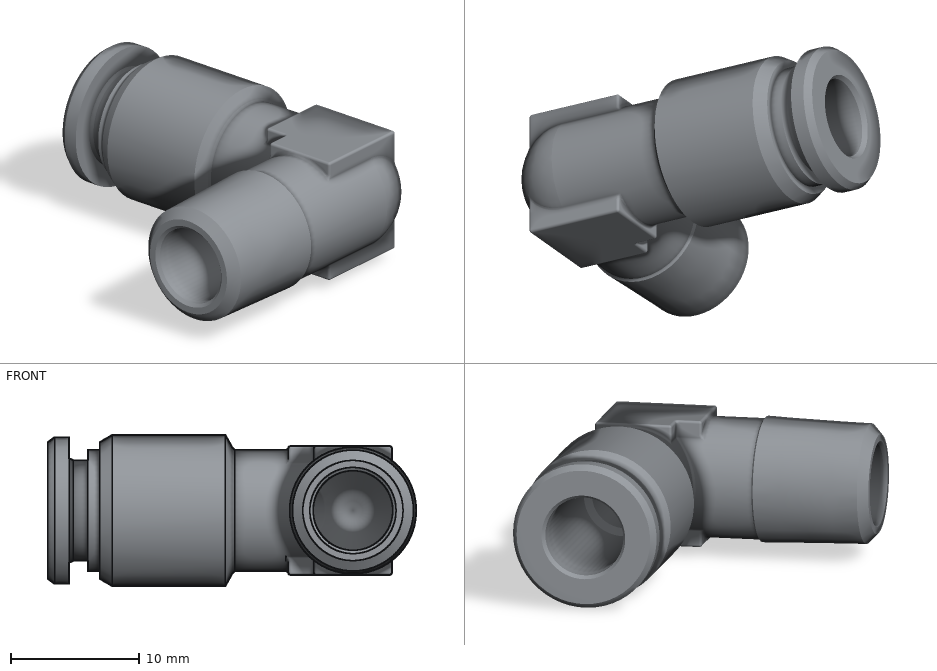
import cadquery as cq
import math

overall_length = 28.75
thread_large_radius = 4.95
corner_x = overall_length - thread_large_radius
pipe_radius = 4.75

button_length = 1.67
button_radius = 5.72
button_bevel_length = 0.55
button_bevel_height = 0.4
neck_root_end = 1.98
neck_root_radius = 4.08
neck_radius = 3.95
collar_start = 3.13
body_start = 4.05
body_end_taper_start = 13.85
body_taper_end = 14.4
body_taper_end_radius = 4.92
arm_pipe_start = 14.58
body_radius = 5.9
body_lead_length = 0.98
body_lead_height = 0.58

drill_half_angle = math.radians(60)

tube_radius = 3.1
tube_mouth_radius = 3.34
tube_mouth_depth = 0.37
tube_stop_depth = 14.95
passage_radius = 2.53

leg_length = 18.52
thread_start = 9.37
thread_shoulder = 0.15
thread_small_radius = 4.72
tip_bevel_length = 0.75
tip_radius = 3.9

leg_bore_radius = 3.1
leg_mouth_radius = 3.35
leg_mouth_depth = 0.25
leg_drill_end = 1.98

pad_height = 5.03
pad_outer = 3.05
pad_inner = 5.03
pad_notch = pad_outer
pad_round = 0.2
pad_margin = 0.03


def tube_arm():
    """Stepped outside of the tube arm, from the button face to the leg axis."""
    profile = [
        (0, 0),
        (0, button_radius - button_bevel_height),
        (button_bevel_length, button_radius),
        (button_length, button_radius),
        (button_length, neck_root_radius),
        (neck_root_end, neck_radius),
        (collar_start, neck_radius),
        (collar_start, pipe_radius),
        (body_start, pipe_radius),
        (body_start, body_radius - body_lead_height),
        (body_start + body_lead_length, body_radius),
        (body_end_taper_start, body_radius),
        (body_taper_end, body_taper_end_radius),
        (arm_pipe_start, pipe_radius),
        (corner_x, pipe_radius),
        (corner_x, 0),
    ]
    return cq.Workplane("XY").polyline(profile).close().revolve(360, (0, 0, 0), (1, 0, 0))


def tube_bore():
    """Tube socket with a bevelled mouth and a conical stop, then the passage to the leg bore."""
    stop_end = tube_stop_depth + (tube_radius - passage_radius) / math.tan(drill_half_angle)
    profile = [
        (0, 0),
        (0, tube_mouth_radius),
        (tube_mouth_depth, tube_radius),
        (tube_stop_depth, tube_radius),
        (stop_end, passage_radius),
        (corner_x, passage_radius),
        (corner_x, 0),
    ]
    return cq.Workplane("XY").polyline(profile).close().revolve(360, (0, 0, 0), (1, 0, 0))


def revolve_about_leg(profile):
    """Revolve (radius, y) points about the leg axis."""
    leg_plane = cq.Workplane("XY", origin=(corner_x, 0, 0))
    return leg_plane.polyline(profile).close().revolve(360, (0, 0, 0), (0, 1, 0))


def threaded_leg():
    """Plain pipe, then a tapered thread envelope with a bevelled tip."""
    return revolve_about_leg([
        (0, 0),
        (pipe_radius, 0),
        (pipe_radius, -thread_start),
        (thread_large_radius, -thread_start - thread_shoulder),
        (thread_small_radius, tip_bevel_length - leg_length),
        (tip_radius, -leg_length),
        (0, -leg_length),
    ])


def leg_bore():
    """Blind drilled bore with a bevelled mouth and a drill-point end."""
    drill_tip = leg_drill_end + leg_bore_radius / math.tan(drill_half_angle)
    return revolve_about_leg([
        (0, -leg_length),
        (leg_mouth_radius, -leg_length),
        (leg_bore_radius, leg_mouth_depth - leg_length),
        (leg_bore_radius, leg_drill_end),
        (0, drill_tip),
    ])


def wrench_pads():
    """Square block with its inner corner notched, forming a pad above and below the elbow."""
    outline = [
        (-pad_inner, pad_outer),
        (pad_outer, pad_outer),
        (pad_outer, -pad_inner),
        (-pad_notch, -pad_inner),
        (-pad_notch, -pad_notch),
        (-pad_inner, -pad_notch),
    ]
    block = cq.Workplane("XY", origin=(corner_x, 0, 0)).polyline(outline).close()
    return block.extrude(pad_height, both=True)


def edges_within(x_range, y_range, z_limit):
    """Selector for edges centred in a box placed relative to the elbow corner, within z_limit of Z = 0."""
    low = (corner_x + x_range[0], y_range[0], -z_limit)
    high = (corner_x + x_range[1], y_range[1], z_limit)
    return cq.selectors.BoxSelector(low, high)


def round_pads(body):
    """Blend the pads and the inside of the elbow, then round the outer pad edges."""
    pad_range = (-pad_inner - pad_margin, pad_outer + pad_margin)
    notch_range = (-pad_notch - pad_margin, -pad_notch + pad_margin)
    upright = cq.selectors.ParallelDirSelector(cq.Vector(0, 0, 1))

    feet_and_crease = edges_within(pad_range, pad_range, pad_height - pad_margin) - upright
    notch_corners = edges_within(notch_range, notch_range, pad_height) & upright
    blended = body.edges(feet_and_crease + notch_corners).fillet(pad_round)

    blend_range = (-pad_notch - 2 * pad_round, -pad_notch + 2 * pad_round)
    notch_blend = edges_within(blend_range, blend_range, pad_height)
    pad_corners = edges_within(pad_range, pad_range, pad_height) & upright
    outer_corners = blended.edges(pad_corners - notch_blend)
    rims = blended.faces("<Z or >Z").edges()
    return blended.newObject(outer_corners.vals() + rims.vals()).fillet(pad_round)


corner = cq.Workplane("XY", origin=(corner_x, 0, 0)).sphere(pipe_radius)
outside = tube_arm().union(threaded_leg()).union(corner).union(wrench_pads())
bores = tube_bore().union(leg_bore())
result = round_pads(outside.cut(bores))